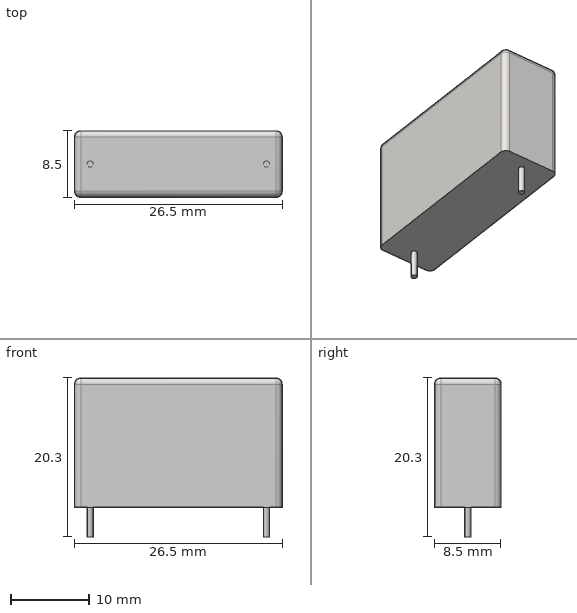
import cadquery as cq

case_length = 26.5
case_width = 8.5
case_height = 16.5
edge_radius = 0.8

lead_diameter = 0.8
lead_spacing = 22.5
lead_length = 3.8


def make_case():
    """Block with rounded upright and top edges and a sharp bottom rim."""
    block = cq.Workplane("XY").box(
        case_length, case_width, case_height, centered=(True, True, False)
    )
    return block.edges("|Z or >Z").fillet(edge_radius)


def make_lead(x_position):
    """Round wire that hangs down from the underside of the case."""
    return (
        cq.Workplane("XY")
        .center(x_position, 0)
        .circle(lead_diameter / 2)
        .extrude(-lead_length)
    )


case = make_case()
leads = [make_lead(side * lead_spacing / 2) for side in (-1, 1)]

result = cq.Compound.makeCompound([case.val(), *[lead.val() for lead in leads]])